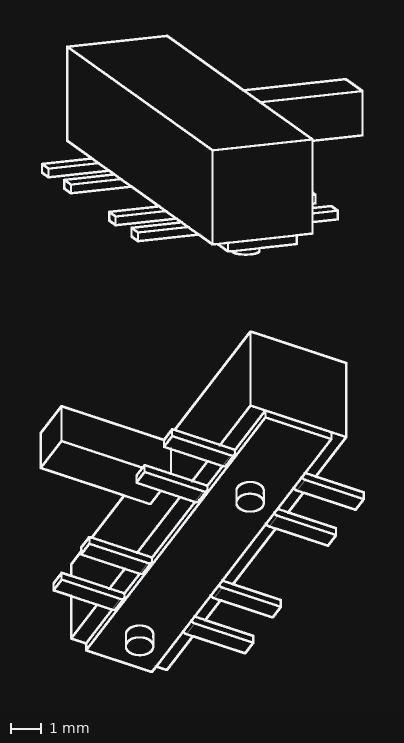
import cadquery as cq


case_length = 13.0
case_depth = 3.5
case_height = 3.5
base_depth = 2.4
base_height = 0.3

pin_diameter = 0.9
pin_length = 0.51
pin_centers_x = (-3.0, 5.0)

lever_width = 1.51
lever_length = 4.0
lever_center_z = 2.4

terminal_width = 0.6
terminal_thickness = base_height
terminal_tip_y = 3.5
terminal_inner_x = 2.0
terminal_pitch = 2.0
terminal_bend_radius = 0.15
terminal_start_y = base_depth / 2
terminal_length = terminal_tip_y - terminal_start_y


def make_case():
    """Block with the lever on its +Y face."""
    block = (
        cq.Workplane("XY")
        .workplane(offset=base_height)
        .rect(case_length, case_depth)
        .extrude(case_height - base_height)
    )
    lever = cq.Workplane("XY").box(lever_width, lever_length, lever_width).translate(
        (0, (case_depth + lever_length) / 2, lever_center_z)
    )
    return block.union(lever)


def make_base():
    """Base strip with its two locating pins underneath."""
    strip = cq.Workplane("XY").rect(case_length, base_depth).extrude(base_height)
    pins = (
        cq.Workplane("XY")
        .pushPoints([(x, 0) for x in pin_centers_x])
        .circle(pin_diameter / 2)
        .extrude(-pin_length)
    )
    return strip.union(pins)


def make_terminal(center_x, side):
    """Flat strip from the base out to side +1 (+Y) or -1 (-Y), its lower inner edge rounded."""
    strip = (
        cq.Workplane("XY")
        .box(terminal_width, terminal_length, terminal_thickness)
        .edges("|X and <Y and <Z")
        .fillet(terminal_bend_radius)
        .translate((0, terminal_start_y + terminal_length / 2, terminal_thickness / 2))
    )
    if side < 0:
        strip = strip.mirror("XZ")
    return strip.translate((center_x, 0, 0))


case = make_case()
base = make_base()

terminal_outer_x = terminal_inner_x + terminal_pitch
terminal_centers_x = (-terminal_outer_x, -terminal_inner_x, terminal_inner_x, terminal_outer_x)
terminals = []
for terminal_side in (-1, 1):
    for terminal_x in terminal_centers_x:
        terminals.append(make_terminal(terminal_x, terminal_side).val())

result = cq.Compound.makeCompound([case.val(), base.val(), *terminals])